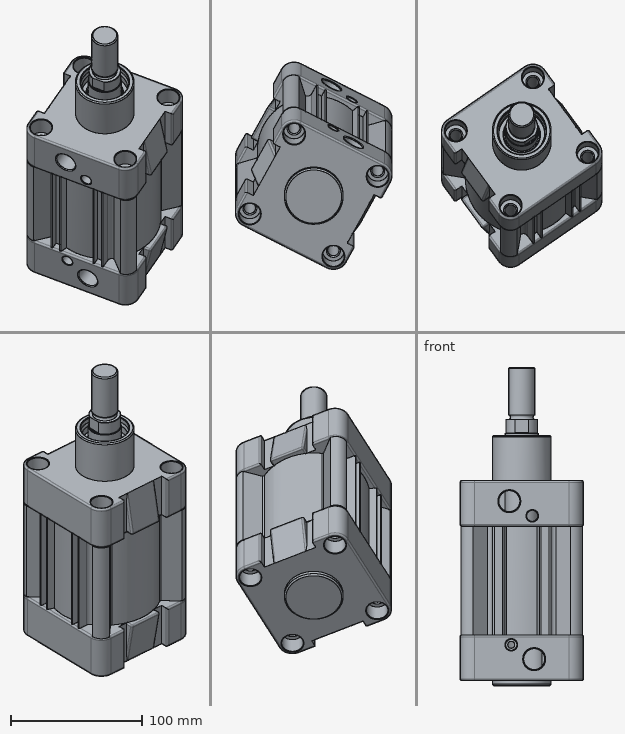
import cadquery as cq
import math

total_length = 243.0
cap_width = 94.0
cap_height = 35.0
cap_corner_radius = 11.0
edge_radius = 1.5

spigot_height = 4.0
barrel_length = 82.9
rear_cap_base = spigot_height
barrel_base = rear_cap_base + cap_height
front_cap_base = barrel_base + barrel_length
front_cap_top = front_cap_base + cap_height

bolt_spacing = 72.2
bolt_offset = bolt_spacing / 2
bolt_bore_radius = 4.4
bolt_recess_radius = 8.3
bolt_recess_depth = 14.5
bolt_recess_chamfer = 0.5
bolt_thread_chamfer = 1.0

groove_half_width = 21.9
groove_floor = 40.5
tongue_half_width = 14.3
tongue_end_radius = 1.2
tongue_rise = cap_width / 2 - groove_floor

barrel_width = 93.0
post_radius = 9.2
tube_radius = 43.0
post_center = barrel_width / 2 - post_radius
pocket_floor = 35.2
pocket_edge = post_center - (barrel_width / 2 - pocket_floor)
rail_outer = 22.4
rail_slot_outer = 21.0
rail_slot_inner = 14.8
rail_inner = 13.5
rail_root = 11.7
rail_slot_depth = 5.8

neck_diameter = 45.0
neck_radius = neck_diameter / 2
neck_top = 191.0
neck_chamfer = 1.0
spigot_chamfer = 1.2
neck_mouth_radius = 19.0
neck_mouth_chamfer = 0.5
neck_cone_start = 4.1
neck_cone_end = 6.5
neck_inner_radius = 17.5
neck_recess_depth = 12.2
wiper_radius = 14.3
wiper_depth = 0.7

rod_radius = 12.6
wrench_radius = 12.2
shoulder_top = 193.0
wrench_base = 193.5
wrench_top = 203.5
wrench_chamfer = 0.2
wrench_flats = 22.0
relief_radius = 9.5
relief_dip = 0.7
thread_base = 206.5
thread_diameter = 20.2
thread_radius = thread_diameter / 2
thread_chamfer = 1.0

port_radius = 8.0
port_offset = 9.5
port_chamfer = 0.7
front_port_z = 141.0
rear_port_z = 20.5
screw_diameter = 8.5
screw_radius = screw_diameter / 2
screw_offset = 8.0
screw_chamfer = 0.5
front_screw_z = 129.8
rear_screw_z = 31.3
rear_screw_bore_radius = 2.7
rear_screw_depth = 19.5
rear_chamber_radius = 15.3
rear_chamber_base = 9.7
rear_chamber_height = 25.5


def cylinder(radius, base, top):
    """Solid cylinder on the Z axis between two heights."""
    return cq.Workplane("XY").workplane(offset=base).circle(radius).extrude(top - base)


def box(x_range, y_range, z_range):
    """Block between the given limits."""
    sizes = [r[1] - r[0] for r in (x_range, y_range, z_range)]
    corner = (x_range[0], y_range[0], z_range[0])
    return cq.Workplane("XY").box(*sizes, centered=False).translate(corner)


def make_tongue():
    """Wedge on the +X side, flush with the groove floor at the top and widest at z = 0."""
    slope = math.degrees(math.atan2(tongue_rise, cap_height))
    bar_length = 2 * cap_height
    bar = (
        box((-cap_width / 2, 0), (-tongue_half_width, tongue_half_width), (-bar_length, bar_length))
        .edges("|Z and >X")
        .fillet(edge_radius)
        .rotate((0, 0, 0), (0, 1, 0), -slope)
        .translate((groove_floor, 0, cap_height))
    )
    overlap = 2.5
    limits = box(
        (groove_floor - overlap, cap_width / 2),
        (-tongue_half_width, tongue_half_width),
        (0, cap_height),
    )
    tongue = bar.intersect(limits)
    return tongue.faces("<Z").edges(">X").fillet(tongue_end_radius)


def make_groove():
    """Cutter for the groove on the +X side, flared so that its mouth edges come out rounded."""
    side = cap_width / 2
    arc_inset = edge_radius * (1 - math.sqrt(0.5))
    mouth = groove_half_width + edge_radius
    return (
        cq.Workplane("XY")
        .moveTo(groove_floor, -groove_half_width)
        .lineTo(side - edge_radius, -groove_half_width)
        .threePointArc((side - arc_inset, -groove_half_width - arc_inset), (side, -mouth))
        .lineTo(side, mouth)
        .threePointArc(
            (side - arc_inset, groove_half_width + arc_inset),
            (side - edge_radius, groove_half_width),
        )
        .lineTo(groove_floor, groove_half_width)
        .close()
        .extrude(cap_height)
    )


def make_cap():
    """End cap from z = 0 (the face against the barrel) to z = cap_height."""
    cap = (
        cq.Workplane("XY")
        .rect(cap_width, cap_width)
        .extrude(cap_height)
        .edges("|Z")
        .fillet(cap_corner_radius)
        .faces("<Z or >Z")
        .edges()
        .fillet(edge_radius)
    )
    groove = make_groove()
    tongue = make_tongue()
    for angle in (0, 180):
        cap = cap.cut(groove.rotate((0, 0, 0), (0, 0, 1), angle))
    for angle in (0, 180):
        cap = cap.union(tongue.rotate((0, 0, 0), (0, 0, 1), angle))
    return cap


def make_barrel():
    """Round tube with four corner posts and a pair of slotted rails on the -Y and +Y sides."""
    half = barrel_width / 2
    overlap = 1.2
    barrel = cylinder(tube_radius, barrel_base, front_cap_base)
    inside = rail_outer - overlap
    arc_middle = post_center + post_radius * math.sqrt(0.5)
    post = (
        cq.Workplane("XY")
        .workplane(offset=barrel_base)
        .moveTo(half, post_center)
        .threePointArc((arc_middle, arc_middle), (post_center, half))
        .lineTo(pocket_edge, pocket_floor)
        .lineTo(inside, pocket_floor)
        .lineTo(pocket_floor, inside)
        .lineTo(pocket_floor, pocket_edge)
        .close()
        .extrude(barrel_length)
    )
    for angle in (0, 90, 180, 270):
        barrel = barrel.union(post.rotate((0, 0, 0), (0, 0, 1), angle))

    corner_radius = pocket_edge - rail_outer
    corner_center_y = pocket_floor + corner_radius
    corner_middle = (
        pocket_edge - corner_radius * math.sqrt(0.5),
        corner_center_y - corner_radius * math.sqrt(0.5),
    )
    slot_floor = half - rail_slot_depth
    rail = (
        cq.Workplane("XY")
        .workplane(offset=barrel_base)
        .moveTo(rail_root, pocket_floor)
        .lineTo(rail_root, math.sqrt(tube_radius**2 - rail_root**2))
        .lineTo(rail_inner, half)
        .lineTo(rail_slot_inner, half)
        .lineTo(rail_slot_inner, slot_floor)
        .lineTo(rail_slot_outer, slot_floor)
        .lineTo(rail_slot_outer, half)
        .lineTo(rail_outer, half)
        .lineTo(rail_outer, corner_center_y)
        .threePointArc(corner_middle, (pocket_edge, pocket_floor))
        .close()
        .extrude(barrel_length)
    )
    rails = rail.union(rail.mirror("YZ"))
    return barrel.union(rails).union(rails.mirror("XZ"))


def make_neck():
    """Rod guide with a recessed, tapered mouth."""
    neck = cylinder(neck_radius, front_cap_top, neck_top).faces(">Z").edges().chamfer(neck_chamfer)
    wall = neck_mouth_radius - neck_mouth_chamfer
    floor = neck_top - neck_recess_depth
    recess = (
        cq.Workplane("XZ")
        .moveTo(0, neck_top)
        .lineTo(neck_mouth_radius, neck_top)
        .lineTo(wall, neck_top - neck_mouth_chamfer)
        .lineTo(wall, neck_top - neck_cone_start)
        .lineTo(neck_inner_radius, neck_top - neck_cone_end)
        .lineTo(neck_inner_radius, floor)
        .lineTo(wiper_radius, floor)
        .lineTo(wiper_radius - wiper_depth, floor - wiper_depth)
        .lineTo(0, floor - wiper_depth)
        .close()
        .revolve(360, (0, 0, 0), (0, 1, 0))
    )
    return neck.cut(recess)


def make_rod():
    """Stepped rod end: shoulder, wrench flats, thread relief and thread."""
    relief_bottom = (relief_radius - relief_dip, (wrench_top + thread_base) / 2)
    shoulder_chamfer = rod_radius - wrench_radius
    rod = (
        cq.Workplane("XZ")
        .moveTo(0, front_cap_top)
        .lineTo(rod_radius, front_cap_top)
        .lineTo(rod_radius, shoulder_top - shoulder_chamfer)
        .lineTo(wrench_radius, shoulder_top)
        .lineTo(wrench_radius, wrench_top - wrench_chamfer)
        .lineTo(wrench_radius - wrench_chamfer, wrench_top)
        .lineTo(relief_radius, wrench_top)
        .threePointArc(relief_bottom, (relief_radius, thread_base))
        .lineTo(thread_radius, thread_base)
        .lineTo(thread_radius, total_length - thread_chamfer)
        .lineTo(thread_radius - thread_chamfer, total_length)
        .lineTo(0, total_length)
        .close()
        .revolve(360, (0, 0, 0), (0, 1, 0))
    )
    flat = box((-rod_radius, rod_radius), (wrench_flats / 2, rod_radius), (wrench_base, wrench_top))
    return rod.cut(flat).cut(flat.mirror("XZ"))


def front_hole(x, z, radius, depth, chamfer=0.0):
    """Cutter for a hole drilled along +Y from the -Y face, with a chamfered mouth."""
    start = cq.Workplane("XZ", origin=(x, -cap_width / 2, z))
    hole = start.circle(radius).extrude(-depth)
    if chamfer:
        cone = start.circle(radius + chamfer).workplane(offset=-chamfer).circle(radius).loft()
        hole = hole.union(cone)
    return hole


def bolt_cutter():
    """Through hole with a stepped, chamfered recess at both ends."""
    overall = front_cap_top - rear_cap_base
    thread_mouth = bolt_bore_radius + bolt_thread_chamfer
    recess_mouth = bolt_recess_radius + bolt_recess_chamfer
    half = (
        cq.Workplane("XZ")
        .moveTo(0, overall / 2)
        .lineTo(bolt_bore_radius, overall / 2)
        .lineTo(bolt_bore_radius, bolt_recess_depth + bolt_thread_chamfer)
        .lineTo(thread_mouth, bolt_recess_depth)
        .lineTo(bolt_recess_radius, bolt_recess_depth)
        .lineTo(bolt_recess_radius, bolt_recess_chamfer)
        .lineTo(recess_mouth, 0)
        .lineTo(0, 0)
        .close()
        .revolve(360, (0, 0, 0), (0, 1, 0))
    )
    other_half = half.mirror("XY").translate((0, 0, overall))
    return half.union(other_half).translate((0, 0, rear_cap_base))


cap = make_cap()
front_cap = cap.translate((0, 0, front_cap_base))
rear_cap = cap.mirror("XY").translate((0, 0, barrel_base))
spigot = cylinder(neck_radius, 0, rear_cap_base).faces("<Z").edges().chamfer(spigot_chamfer)
body = rear_cap.union(make_barrel()).union(front_cap).union(spigot).union(make_neck())

for x in (-bolt_offset, bolt_offset):
    for y in (-bolt_offset, bolt_offset):
        body = body.cut(bolt_cutter().translate((x, y, 0)))

to_middle = cap_width / 2
body = body.cut(front_hole(-port_offset, front_port_z, port_radius, to_middle, port_chamfer))
body = body.cut(front_hole(screw_offset, front_screw_z, screw_radius, to_middle, screw_chamfer))
body = body.cut(front_hole(port_offset, rear_port_z, port_radius, to_middle, port_chamfer))
body = body.cut(front_hole(-screw_offset, rear_screw_z, screw_radius, rear_screw_depth, screw_chamfer))
body = body.cut(front_hole(-screw_offset, rear_screw_z, rear_screw_bore_radius, to_middle))
body = body.cut(cylinder(rear_chamber_radius, rear_chamber_base, rear_chamber_base + rear_chamber_height))

rod_core = cylinder(rod_radius, front_cap_base, front_cap_top)
result = body.union(rod_core).union(make_rod())